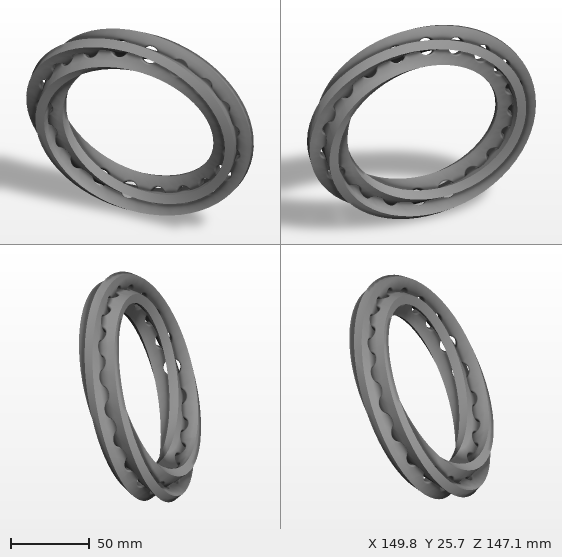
import cadquery as cq
import math

RING_RADIUS = 62.3
STRIP_WIDTH = 25.0
STRIP_THICKNESS = 6.0
HOLE_DIAMETER = 11.0
HOLE_EDGE_RADIUS = 1.0

HOLE_COUNT = 20
HOLE_PITCH = 360 / HOLE_COUNT
FIRST_HOLE_ANGLE = 11.5
TWIST_PER_TURN = 180

FIRST_SEAM_ANGLE = 180
SECOND_STRIP_TURN = 180 - HOLE_PITCH / 2

EDGE_STEPS = 48
CORNER_SIDES = [(1, 1), (-1, 1), (-1, -1), (1, -1)]
CUTTER_LENGTH = 3 * STRIP_THICKNESS


def outward_direction(angle):
    """Unit vector in the ring plane, pointing away from the ring axis."""
    turn = math.radians(angle)
    return cq.Vector(math.cos(turn), 0, math.sin(turn))


def section_frame(seam_angle, travel):
    """Centre, width direction and thickness direction of the strip, `travel` degrees past its seam."""
    outward = outward_direction(seam_angle + travel)
    axial = cq.Vector(0, -1, 0)
    twist = math.radians(travel * TWIST_PER_TURN / 360)
    across_width = axial * math.cos(twist) + outward * math.sin(twist)
    across_thickness = outward * math.cos(twist) - axial * math.sin(twist)
    return outward * RING_RADIUS, across_width, across_thickness


def long_edge(seam_angle, width_side, thickness_side):
    """Curve that one corner of the rectangular section follows in a full turn."""
    points = []
    for step in range(EDGE_STEPS + 1):
        centre, across_width, across_thickness = section_frame(seam_angle, 360 * step / EDGE_STEPS)
        width_offset = across_width * (width_side * STRIP_WIDTH / 2)
        thickness_offset = across_thickness * (thickness_side * STRIP_THICKNESS / 2)
        points.append(centre + width_offset + thickness_offset)
    return cq.Edge.makeSpline(points)


def twisted_band(seam_angle):
    """Solid strip: four ruled faces that close on themselves at the seam."""
    edges = [long_edge(seam_angle, *sides) for sides in CORNER_SIDES]
    faces = [
        cq.Face.makeRuledSurface(edge, next_edge)
        for edge, next_edge in zip(edges, edges[1:] + edges[:1])
    ]
    return cq.Solid.makeSolid(cq.Shell.makeShell(faces))


def hole_cutter(seam_angle, travel):
    """Cylinder square to the strip's wide faces, centred on the centre circle."""
    centre, _, across_thickness = section_frame(seam_angle, travel)
    start = centre - across_thickness * (CUTTER_LENGTH / 2)
    return cq.Solid.makeCylinder(HOLE_DIAMETER / 2, CUTTER_LENGTH, start, across_thickness)


def moebius_strip(seam_angle):
    """Twisted band with a row of holes whose rims are rounded."""
    cutters = [
        hole_cutter(seam_angle, FIRST_HOLE_ANGLE + HOLE_PITCH * index)
        for index in range(HOLE_COUNT)
    ]
    drilled = twisted_band(seam_angle).cut(*cutters)
    strip = drilled.Solids()[0]
    rims = [
        edge
        for wall in strip.Faces()
        if wall.geomType() == "CYLINDER"
        for edge in wall.Edges()
        if edge.geomType() != "LINE"
    ]
    return strip.fillet(HOLE_EDGE_RADIUS, rims)


def turned_about_axis(body, angle):
    """Copy of a body turned about the ring axis, from +X towards +Z."""
    return body.rotate(cq.Vector(0, 0, 0), cq.Vector(0, -1, 0), angle)


first_strip = moebius_strip(FIRST_SEAM_ANGLE)
second_strip = turned_about_axis(first_strip, SECOND_STRIP_TURN)

result = cq.Compound.makeCompound([*first_strip.Solids(), *second_strip.Solids()])